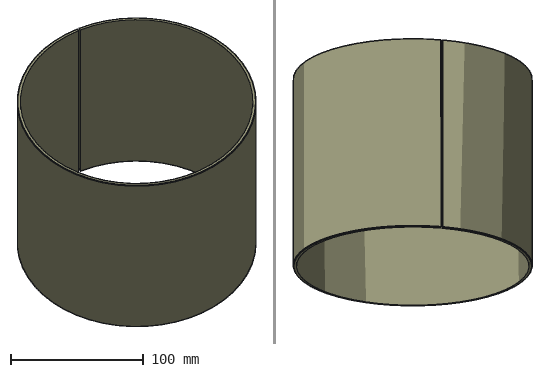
import cadquery as cq

outer_diameter = 180.0
height = 150.0
wall = 2.5
edge_chamfer = 0.5
slit_angle = 1.0

outer_radius = outer_diameter / 2
inner_radius = outer_radius - wall
rim_radius = outer_radius - edge_chamfer

section = (
    cq.Workplane("XZ")
    .moveTo(-inner_radius, 0)
    .lineTo(-rim_radius, 0)
    .lineTo(-outer_radius, edge_chamfer)
    .lineTo(-outer_radius, height - edge_chamfer)
    .lineTo(-rim_radius, height)
    .lineTo(-inner_radius, height)
    .close()
)

axis_start = (0, 0, 0)
axis_end = (0, 1, 0)
result = section.revolve(360 - slit_angle, axis_start, axis_end)